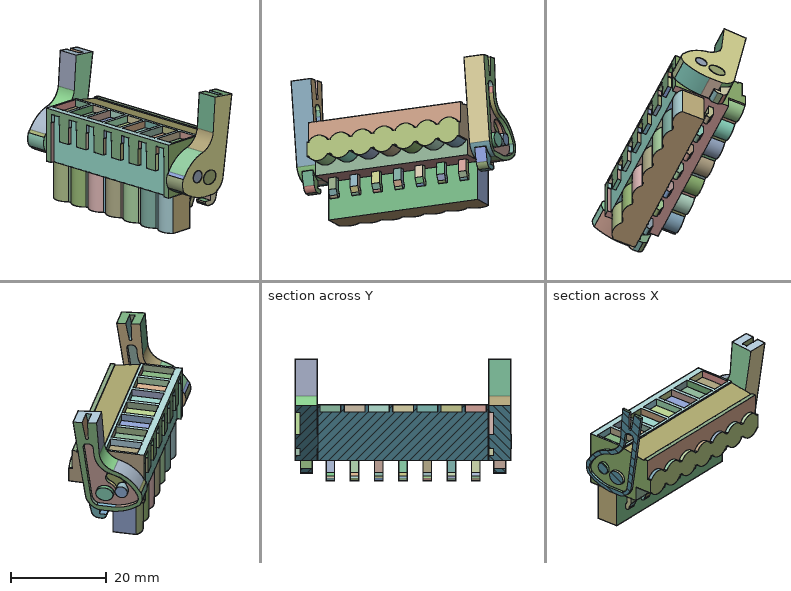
import cadquery as cq
import math


POLES = 7
ROW_WIDTH = 34.95
LOBE_WIDTH = 4.5
PITCH = (ROW_WIDTH - LOBE_WIDTH) / (POLES - 1)
POLE_X = [(i - (POLES - 1) / 2) * PITCH for i in range(POLES)]

HOUSING_WIDTH = 35.65
HOUSING_HEIGHT = 11.7
FRONT_BLOCK_REAR_Y = 12.25
TOP_REAR_Y = 9.0
SLOPE_HIGH_Z = 11.4
SLOPE_LOW_Z = 10.5
RIDGE_FRONT_Y = 14.5
RIDGE_HEIGHT = 10.75
REAR_Y = 15.45
SOCKET_REAR_Y = 16.2
SOCKET_BOTTOM_Z = 3.2
SOCKET_TOP_Z = 6.3
SOCKET_LOBE_RISE = 1.2

PLUG_LENGTH = 8.3
PLUG_REAR_Y = 6.8
PLUG_FRONT_Y = 1.75
PLUG_LOBE_RISE = 0.95

POCKET_WIDTH = 4.3
POCKET_FRONT_Y = 1.5
POCKET_LENGTH = 6.85
POCKET_DEPTH = 1.55

RECESS_DEPTH = 0.8
RECESS_HEIGHT = 5.15
FINGER_WIDTH = 2.4
FINGER_STEP_Z = 8.83
FINGER_TIP_WIDTH = 2.1
FINGER_TOP_Z = 10.65
RECESS_WIDTH = (POLES - 1) * PITCH + FINGER_WIDTH

LEVER_WIDTH = 4.65
LEVER_GAP = 0.1
LEVER_POCKET_DEPTH = 1.0
GRIP_SLOT_DEPTH = 3.6
LEVER_LEFT_X = [
    -HOUSING_WIDTH / 2 - LEVER_GAP - LEVER_WIDTH,
    HOUSING_WIDTH / 2 + LEVER_GAP,
]

PIVOT_Y = 7.42
PIVOT_Z = 4.0
PIVOT_LONG_RADIUS = 1.85
PIVOT_SHORT_RADIUS = 1.55
GUIDE_RADIUS = 3.75
GUIDE_START_ANGLE = 15
GUIDE_END_ANGLE = 69
GUIDE_PIN_RADIUS = 1.3
GUIDE_SLOT_DEPTH = 0.9

TAIL_WIDTH = 2.55

TONGUE_WIDTH = 1.8


def centred_box(width, y0, y1, z0, z1, x=0):
    """Box between two Y and two Z limits, centred on the given X."""
    block = cq.Workplane("XY").box(width, y1 - y0, z1 - z0, centered=False)
    return block.translate((x - width / 2, y0, z0))


def side_sketch(x):
    """Workplane at the given X whose local axes are Y and Z; it extrudes toward +X."""
    return cq.Workplane("YZ", origin=(x, 0, 0))


def lobe_sketch(plane, x, base, rise):
    """Circular segment on a chord one lobe wide, bulging by `rise` along the local vertical."""
    left = x - LOBE_WIDTH / 2
    right = x + LOBE_WIDTH / 2
    return plane.moveTo(left, base).threePointArc((x, base + rise), (right, base)).close()



def housing_shell():
    profile = [
        (0, 0),
        (0, HOUSING_HEIGHT),
        (TOP_REAR_Y, HOUSING_HEIGHT),
        (TOP_REAR_Y, SLOPE_HIGH_Z),
        (RIDGE_FRONT_Y, SLOPE_LOW_Z),
        (RIDGE_FRONT_Y, RIDGE_HEIGHT),
        (REAR_Y, RIDGE_HEIGHT),
        (REAR_Y, SOCKET_TOP_Z),
        (SOCKET_REAR_Y, SOCKET_TOP_Z),
        (SOCKET_REAR_Y, SOCKET_BOTTOM_Z),
        (FRONT_BLOCK_REAR_Y, SOCKET_BOTTOM_Z),
        (FRONT_BLOCK_REAR_Y, 0),
    ]
    return side_sketch(-HOUSING_WIDTH / 2).polyline(profile).close().extrude(HOUSING_WIDTH)


def socket_lobes(x):
    """Upper and lower rounded bulges of one pole of the rear socket."""
    plane = cq.Workplane("XZ", origin=(0, SOCKET_REAR_Y, 0))
    length = SOCKET_REAR_Y - FRONT_BLOCK_REAR_Y
    upper = lobe_sketch(plane, x, SOCKET_TOP_Z, SOCKET_LOBE_RISE).extrude(length)
    lower = lobe_sketch(plane, x, SOCKET_BOTTOM_Z, -SOCKET_LOBE_RISE).extrude(length)
    return upper.union(lower)


def plug():
    """Flat-backed block under the housing with one rounded lobe per pole on its front."""
    body = centred_box(ROW_WIDTH, PLUG_FRONT_Y, PLUG_REAR_Y, -PLUG_LENGTH, 0)
    plane = cq.Workplane("XY", origin=(0, 0, -PLUG_LENGTH))
    for x in POLE_X:
        body = body.union(lobe_sketch(plane, x, PLUG_FRONT_Y, -PLUG_LOBE_RISE).extrude(PLUG_LENGTH))
    return body


def wire_pocket(x):
    rear_y = POCKET_FRONT_Y + POCKET_LENGTH
    floor_z = HOUSING_HEIGHT - POCKET_DEPTH
    return centred_box(POCKET_WIDTH, POCKET_FRONT_Y, rear_y, floor_z, HOUSING_HEIGHT, x)


def front_recess():
    recess = centred_box(RECESS_WIDTH, 0, RECESS_DEPTH, 0, RECESS_HEIGHT)
    for x in POLE_X:
        recess = recess.union(centred_box(FINGER_WIDTH, 0, RECESS_DEPTH, 0, FINGER_STEP_Z, x))
        recess = recess.union(centred_box(FINGER_TIP_WIDTH, 0, RECESS_DEPTH, 0, FINGER_TOP_Z, x))
    return recess


def make_housing():
    body = housing_shell().union(plug()).cut(front_recess())
    for x in POLE_X:
        body = body.union(socket_lobes(x)).cut(wire_pocket(x))
    return body



def make_tongue(x):
    """Tongue hanging from the housing underside, ending in a rounded beak that points forward."""
    return (
        side_sketch(x - TONGUE_WIDTH / 2)
        .moveTo(8.45, 0)
        .lineTo(8.45, -2.55)
        .lineTo(8.05, -3.2)
        .lineTo(8.05, -3.75)
        .threePointArc((8.45, -4.25), (8.95, -3.75))
        .lineTo(9.55, -2.55)
        .lineTo(9.55, 0)
        .close()
        .extrude(TONGUE_WIDTH)
    )



def lever_plate(x):
    """Cam-shaped head at the bottom, blending into a leaning grip arm."""
    return (
        side_sketch(x)
        .moveTo(14.15, 20.77)
        .lineTo(9.1, 21.23)
        .lineTo(8.5, 13.5)
        .threePointArc((7.5, 11.3), (5.48, 9.95))
        .threePointArc((2.25, 8.45), (-0.05, 5.95))
        .lineTo(-0.5, 5.35)
        .threePointArc((-0.72, 3.95), (-0.25, 2.4))
        .threePointArc((2.65, 0.7), (5.8, 0))
        .lineTo(8.65, 0)
        .threePointArc((10.2, 0.8), (11.45, 2.65))
        .close()
        .extrude(LEVER_WIDTH)
    )


def lever_pocket(x):
    """Shallow pocket in the -X face that follows the outline and leaves a rim."""
    return (
        side_sketch(x)
        .moveTo(12.0, 14.95)
        .threePointArc((10.9, 15.9), (9.8, 14.95))
        .lineTo(9.7, 13.6)
        .threePointArc((8.8, 11.05), (5.95, 9.1))
        .threePointArc((2.65, 7.55), (0.4, 4.85))
        .threePointArc((0.2, 4.05), (0.5, 2.8))
        .threePointArc((2.65, 1.65), (5.1, 1.1))
        .lineTo(9.0, 1.1)
        .threePointArc((9.8, 1.67), (10.3, 2.8))
        .close()
        .extrude(LEVER_POCKET_DEPTH)
    )


def grip_slot(x):
    """Tapered slot cut down from the end of the grip arm, open to the -X face."""
    return (
        side_sketch(x)
        .moveTo(12.25, 21.25)
        .lineTo(11.45, 17.1)
        .threePointArc((11.2, 16.93), (10.9, 17.1))
        .lineTo(11.05, 21.25)
        .close()
        .extrude(GRIP_SLOT_DEPTH)
    )


def guide_point(radius, angle):
    """(Y, Z) at a distance from the pivot; the angle rises from straight forward."""
    turn = math.radians(angle)
    return PIVOT_Y - radius * math.cos(turn), PIVOT_Z + radius * math.sin(turn)


def guide_slot(x):
    """Curved slot with round ends, sunk into the pocket floor."""
    inner = GUIDE_RADIUS - GUIDE_PIN_RADIUS
    outer = GUIDE_RADIUS + GUIDE_PIN_RADIUS
    start = GUIDE_START_ANGLE
    end = GUIDE_END_ANGLE
    middle = (start + end) / 2
    plane = side_sketch(x + LEVER_POCKET_DEPTH)
    slot = (
        plane.moveTo(*guide_point(inner, start))
        .threePointArc(guide_point(inner, middle), guide_point(inner, end))
        .lineTo(*guide_point(outer, end))
        .threePointArc(guide_point(outer, middle), guide_point(outer, start))
        .close()
        .extrude(GUIDE_SLOT_DEPTH)
    )
    for angle in (start, end):
        round_end = plane.center(*guide_point(GUIDE_RADIUS, angle)).circle(GUIDE_PIN_RADIUS)
        slot = slot.union(round_end.extrude(GUIDE_SLOT_DEPTH))
    return slot


def lever_pins(x):
    """Pivot and guide pin, standing up to the rim on -X and slightly proud of the plate on +X."""
    length = LEVER_WIDTH + LEVER_GAP
    pivot = side_sketch(x).center(PIVOT_Y, PIVOT_Z).ellipse(PIVOT_LONG_RADIUS, PIVOT_SHORT_RADIUS)
    guide = side_sketch(x).center(*guide_point(GUIDE_RADIUS, GUIDE_START_ANGLE)).circle(GUIDE_PIN_RADIUS)
    return pivot.extrude(length).union(guide.extrude(length))


def lever_tail(x):
    """Narrow tail centred in the lever width, ending in a forward hook."""
    return (
        side_sketch(x + (LEVER_WIDTH - TAIL_WIDTH) / 2)
        .moveTo(11.2, 1.7)
        .lineTo(10.45, -1.45)
        .threePointArc((9.95, -2.25), (9.32, -2.65))
        .lineTo(8.1, -2.7)
        .threePointArc((7.55, -2.45), (7.25, -2.0))
        .lineTo(7.25, -1.65)
        .lineTo(8.75, -1.65)
        .lineTo(8.75, 1.7)
        .close()
        .extrude(TAIL_WIDTH)
    )


def make_lever(x):
    plate = lever_plate(x).union(lever_tail(x))
    plate = plate.cut(lever_pocket(x)).cut(grip_slot(x)).cut(guide_slot(x))
    return plate.union(lever_pins(x))


housing = make_housing()
tongues = [make_tongue(x) for x in POLE_X]
levers = [make_lever(x) for x in LEVER_LEFT_X]

result = cq.Compound.makeCompound(
    [housing.val(), *[tongue.val() for tongue in tongues], *[lever.val() for lever in levers]]
)